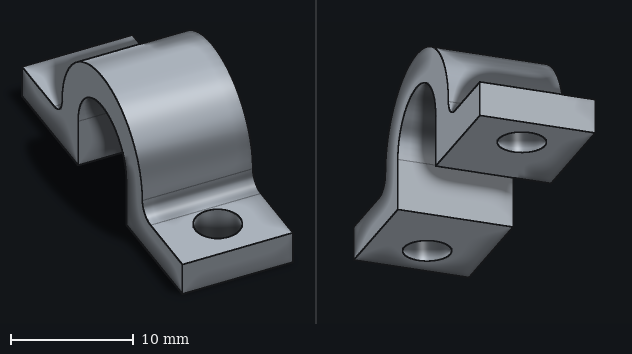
import cadquery as cq

length = 30.0
width = 10.0
foot_thickness = 3.0
bore_radius = 4.5
wall = 3.0
fillet_radius = 1.5
hole_diameter = 4.0
hole_spacing = 22.5

half_length = length / 2
outer_radius = bore_radius + wall
axis_height = foot_thickness + fillet_radius
fillet_end = outer_radius + fillet_radius


def saddle_body():
    """Arched strap with two flat feet, extruded evenly about the XZ plane."""
    outer = (
        cq.Workplane("XZ")
        .moveTo(-half_length, 0)
        .lineTo(-half_length, foot_thickness)
        .lineTo(-fillet_end, foot_thickness)
        .radiusArc((-outer_radius, axis_height), -fillet_radius)
        .threePointArc((0, axis_height + outer_radius), (outer_radius, axis_height))
        .radiusArc((fillet_end, foot_thickness), -fillet_radius)
        .lineTo(half_length, foot_thickness)
        .lineTo(half_length, 0)
    )
    profile = (
        outer.lineTo(bore_radius, 0)
        .lineTo(bore_radius, axis_height)
        .threePointArc((0, axis_height + bore_radius), (-bore_radius, axis_height))
        .lineTo(-bore_radius, 0)
        .close()
    )
    return profile.extrude(width / 2, both=True)


def screw_holes():
    """One vertical through hole cutter for each foot."""
    return (
        cq.Workplane("XY")
        .pushPoints([(side * hole_spacing / 2, 0) for side in (-1, 1)])
        .circle(hole_diameter / 2)
        .extrude(foot_thickness)
    )


result = saddle_body().cut(screw_holes())